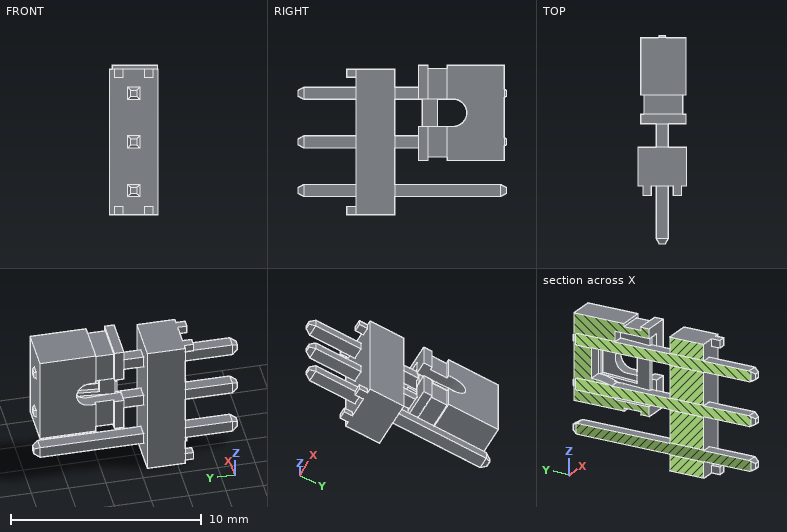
import cadquery as cq
import math


pin_count = 3
pitch = 2.54
block_width = pitch
block_depth = 2.04
block_height = pin_count * pitch
pin_side = 0.64
pin_tip_side = 0.32
pin_taper = 0.31
pin_length = 10.92
pin_rear_y = 5.84
foot_side = 0.44
foot_depth = 0.49
foot_inset = 0.26

shell_width = 2.38
shell_height = 5.0
shell_front_y = 1.22
rim_depth = 0.51
waist_depth = 0.99
waist_width = 2.04
waist_height = 4.65
cap_depth = 3.0
shell_x = 0.05
shell_rise = 0.25
shell_z = pitch / 2 + shell_rise
shell_rear_y = shell_front_y + rim_depth + waist_depth + cap_depth

slot_height = 1.42
slot_end_y = 3.76

cavity_height = 3.85
cavity_front_width = 0.94
cavity_rear_width = 1.22
cavity_rear_y = 4.67
shoulder_front_y = 3.28
shoulder_gap = 2.01
shoulder_radius = 3.82

contact_front_y = 1.42
contact_front_x = 0.15
contact_rear_x = 0.48
contact_thickness = 0.23
window_front_y = 2.24
window_rear_y = 4.53
window_height = 2.0


def block(width, y_start, y_end, height, x=0.0, z=0.0):
    """Box centred on x and z, from y_start to y_end."""
    depth = y_end - y_start
    return cq.Workplane("XY").box(width, depth, height).translate((x, y_start + depth / 2, z))


def pin_taper_end(y_base, y_tip):
    """Tapered pin end from the full section at y_base to the small tip at y_tip."""
    section = cq.Workplane("XZ", origin=(0, y_base, 0)).rect(pin_side, pin_side)
    return section.workplane(offset=y_base - y_tip).rect(pin_tip_side, pin_tip_side).loft(ruled=True)


def make_pin(index):
    """Square pin tapered at both ends, counted from the bottom of the row."""
    front_y = pin_rear_y - pin_length
    shank_front_y = front_y + pin_taper
    shank_rear_y = pin_rear_y - pin_taper
    pin = block(pin_side, shank_front_y, shank_rear_y, pin_side)
    pin = pin.union(pin_taper_end(shank_front_y, front_y))
    pin = pin.union(pin_taper_end(shank_rear_y, pin_rear_y))
    return pin.translate((0, 0, (index - (pin_count - 1) / 2) * pitch))


def make_housing():
    """Header block with a foot near each corner of its front face."""
    housing = block(block_width, -block_depth, 0, block_height)
    foot_x = block_width / 2 - foot_inset - foot_side / 2
    foot_z = block_height / 2 - foot_side / 2
    foot_front_y = -block_depth - foot_depth
    for x in (-foot_x, foot_x):
        for z in (-foot_z, foot_z):
            housing = housing.union(block(foot_side, foot_front_y, -block_depth, foot_side, x, z))
    return housing


def make_cavity():
    """Void of the shell: tapered in plan, with two rounded shoulders at the rear in profile."""
    half_height = cavity_height / 2
    half_gap = shoulder_gap / 2

    def shoulder_z(y):
        run = cavity_rear_y - y
        return half_gap + shoulder_radius - math.sqrt(shoulder_radius**2 - run**2)

    middle_y = (shoulder_front_y + cavity_rear_y) / 2
    front_z = shoulder_z(shoulder_front_y)
    middle_z = shoulder_z(middle_y)
    profile = (
        cq.Workplane("YZ")
        .moveTo(shell_front_y, -half_height)
        .lineTo(shoulder_front_y, -half_height)
        .lineTo(shoulder_front_y, -front_z)
        .threePointArc((middle_y, -middle_z), (cavity_rear_y, -half_gap))
        .lineTo(cavity_rear_y, half_gap)
        .threePointArc((middle_y, middle_z), (shoulder_front_y, front_z))
        .lineTo(shoulder_front_y, half_height)
        .lineTo(shell_front_y, half_height)
        .close()
        .extrude(cavity_rear_width / 2, both=True)
    )
    plan = (
        cq.Workplane("XY")
        .polyline([
            (-cavity_front_width / 2, shell_front_y),
            (cavity_front_width / 2, shell_front_y),
            (cavity_rear_width / 2, cavity_rear_y),
            (-cavity_rear_width / 2, cavity_rear_y),
        ])
        .close()
        .extrude(half_height, both=True)
    )
    return profile.intersect(plan).translate((shell_x, 0, shell_z))


def make_slot():
    """Round-ended slot through the full width, open at the front."""
    radius = slot_height / 2
    centre_y = slot_end_y - radius
    slot = block(shell_width, shell_front_y, centre_y, slot_height)
    round_end = cq.Workplane("YZ").center(centre_y, 0).circle(radius).extrude(shell_width / 2, both=True)
    return slot.union(round_end).translate((shell_x, 0, shell_z))


def make_shell():
    """Jumper shell with its slot and cavity."""
    rim_rear_y = shell_front_y + rim_depth
    cap_front_y = rim_rear_y + waist_depth
    shell = block(shell_width, shell_front_y, rim_rear_y, shell_height, shell_x, shell_z)
    shell = shell.union(block(waist_width, rim_rear_y, cap_front_y, waist_height, shell_x, shell_z))
    shell = shell.union(block(shell_width, cap_front_y, shell_rear_y, shell_height, shell_x, shell_z))
    return shell.cut(make_slot()).cut(make_cavity())


def make_contact_leaf():
    """Leaning contact leaf, bridging the upper two pins."""
    leaf = (
        cq.Workplane("XY")
        .polyline([
            (contact_front_x, contact_front_y),
            (contact_front_x + contact_thickness, contact_front_y),
            (contact_rear_x + contact_thickness, cavity_rear_y),
            (contact_rear_x, cavity_rear_y),
        ])
        .close()
        .extrude(cavity_height / 2, both=True)
    )
    window = block(shell_width, window_front_y, window_rear_y, window_height)
    return leaf.cut(window).translate((0, 0, shell_z))


def make_bridged_pins():
    """Upper two pins joined by the contact leaf into one conductor."""
    conductor = make_contact_leaf()
    for index in range(1, pin_count):
        conductor = conductor.union(make_pin(index))
    return conductor


free_pin = make_pin(0)
bridged_pins = make_bridged_pins()
housing = make_housing().cut(free_pin).cut(bridged_pins)
shell = make_shell().cut(bridged_pins)

bodies = (housing, shell, free_pin, bridged_pins)
result = cq.Compound.makeCompound([body.solids().val() for body in bodies])